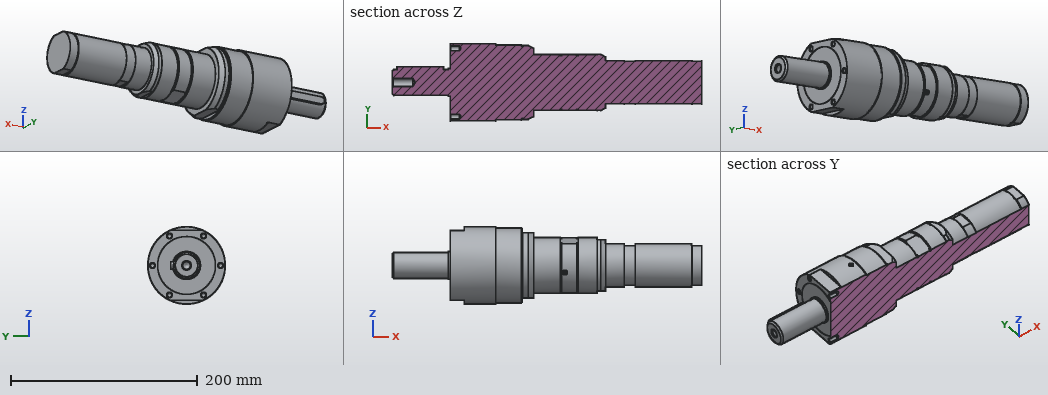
import cadquery as cq
import math


DRILL_POINT_ANGLE = 118.0

SHAFT_DIA = 28.0
SHAFT_CHAMFER = 2.0
COLLAR_START = 60.0
COLLAR_DIA = 30.0
SHAFT_HOLE_DIA = 8.38
SHAFT_HOLE_DEPTH = 22.0
SHAFT_SINK_DIA = 10.0
SHAFT_SINK_ANGLE = 60.0

KEY_START = 5.0
KEY_LENGTH = 50.0
KEY_WIDTH = 8.0
KEY_TOP = 17.0
KEY_SEAT = 10.0

FLANGE_START = 62.0
FLANGE_END = 111.0
FLANGE_DIA = 83.0
FLANGE_FLAT_LENGTH = 15.0
FLANGE_ACROSS_FLATS = 75.0
COVER_DIA = 62.0
COVER_RECESS = 0.2
BOLT_COUNT = 6
BOLT_CIRCLE_DIA = 73.0
BOLT_HOLE_DIA = 4.92
BOLT_HOLE_DEPTH = 10.0
BOLT_SINK_DIA = 6.0
BOLT_SINK_ANGLE = 90.0
FLANGE_PORT_X = 104.5

PORT_DIA = 5.0
PORT_STEP_DEPTH = 2.0
PORT_BORE_DIA = 3.3
PORT_DEPTH = 8.0

RING_END = 139.0
RING_DIA = 80.6
RING_CHAMFER = 1.0

LARGE_NUT_START = 140.0
LARGE_NUT_END = 151.6
LARGE_NUT_DIA = 79.4
LARGE_NUT_TAPER_START = 145.5
LARGE_NUT_END_DIA = 73.5
LARGE_NUT_ACROSS_FLATS = 70.0
LARGE_NUT_GROOVE_DIA = 77.5

HOUSING_END = 219.5
HOUSING_DIA = 60.0
BAND_START = 180.0
BAND_END = 199.0
BAND_GROOVE_WIDTH = 1.5
BAND_GROOVE_DIA = 58.0
BAND_ACROSS_FLATS = 55.0
BAND_TILT = 15.0
BAND_PORT_X = 185.0

SMALL_NUT_END = 228.4
SMALL_NUT_DIA = 60.6
SMALL_NUT_TAPER_START = 223.5
SMALL_NUT_END_DIA = 55.0
SMALL_NUT_ACROSS_FLATS = 55.0

TUBE_END = 331.5
TUBE_DIA = 46.5
TUBE_ACROSS_FLATS = 42.5
MID_FLAT_START = 248.5
MID_FLAT_END = 260.0
END_FLAT_START = 320.5
END_GROOVE_WIDTH = 0.8
TUBE_RELIEF_DIA = 46.0


def cylinder(start, end, diameter):
    """Cylinder on the X axis between two stations."""
    return cq.Workplane("YZ").workplane(offset=start).circle(diameter / 2).extrude(end - start)


def turned_body():
    """Revolve the stepped half profile, given as (station, diameter) pairs, about X."""
    profile = [
        (0, SHAFT_DIA - 2 * SHAFT_CHAMFER),
        (SHAFT_CHAMFER, SHAFT_DIA),
        (COLLAR_START, SHAFT_DIA),
        (COLLAR_START, COLLAR_DIA),
        (FLANGE_START + COVER_RECESS, COLLAR_DIA),
        (FLANGE_START + COVER_RECESS, COVER_DIA),
        (FLANGE_START, COVER_DIA),
        (FLANGE_START, FLANGE_DIA),
        (FLANGE_END, FLANGE_DIA),
        (FLANGE_END, RING_DIA),
        (RING_END - RING_CHAMFER, RING_DIA),
        (RING_END, RING_DIA - 2 * RING_CHAMFER),
        (RING_END, LARGE_NUT_GROOVE_DIA),
        (LARGE_NUT_START, LARGE_NUT_GROOVE_DIA),
        (LARGE_NUT_START, LARGE_NUT_DIA),
        (LARGE_NUT_TAPER_START, LARGE_NUT_DIA),
        (LARGE_NUT_END, LARGE_NUT_END_DIA),
        (LARGE_NUT_END, HOUSING_DIA),
        (HOUSING_END, HOUSING_DIA),
        (HOUSING_END, SMALL_NUT_DIA),
        (SMALL_NUT_TAPER_START, SMALL_NUT_DIA),
        (SMALL_NUT_END, SMALL_NUT_END_DIA),
        (SMALL_NUT_END, TUBE_DIA),
        (MID_FLAT_START, TUBE_DIA),
        (MID_FLAT_START, TUBE_RELIEF_DIA),
        (MID_FLAT_END, TUBE_RELIEF_DIA),
        (MID_FLAT_END, TUBE_DIA),
        (END_FLAT_START, TUBE_DIA),
        (END_FLAT_START, TUBE_RELIEF_DIA),
        (END_FLAT_START + END_GROOVE_WIDTH, TUBE_RELIEF_DIA),
        (END_FLAT_START + END_GROOVE_WIDTH, TUBE_DIA),
        (TUBE_END, TUBE_DIA),
    ]
    outline = [(0, 0)] + [(x, diameter / 2) for x, diameter in profile] + [(TUBE_END, 0)]
    return cq.Workplane("XY").polyline(outline).close().revolve(360, (0, 0, 0), (1, 0, 0))


def flat_pair(start, end, across_flats, tilt=0):
    """Cutter leaving two parallel flats, facing +Z and -Z before the tilt about X."""
    stock = cylinder(start, end, 2 * FLANGE_DIA)
    kept = (
        cq.Workplane("XY")
        .box(end - start, 2 * FLANGE_DIA, across_flats)
        .translate(((start + end) / 2, 0, 0))
    )
    return stock.cut(kept).rotate((0, 0, 0), (1, 0, 0), tilt)


def band_groove(start):
    """Ring cutter for one groove beside the wrench band."""
    end = start + BAND_GROOVE_WIDTH
    return cylinder(start, end, FLANGE_DIA).cut(cylinder(start, end, BAND_GROOVE_DIA))


def drilled_hole(bore_dia, sink_dia, sink_angle, depth):
    """Cutter along +X from the origin: conical sink, bore and conical drill point."""
    bore_radius = bore_dia / 2
    sink_radius = sink_dia / 2
    sink_depth = (sink_radius - bore_radius) / math.tan(math.radians(sink_angle / 2))
    point_length = bore_radius / math.tan(math.radians(DRILL_POINT_ANGLE / 2))
    outline = [
        (0, 0),
        (0, sink_radius),
        (sink_depth, bore_radius),
        (depth, bore_radius),
        (depth + point_length, 0),
    ]
    return cq.Workplane("XY").polyline(outline).close().revolve(360, (0, 0, 0), (1, 0, 0))


def radial_port(x, surface_radius, angle):
    """Cutter for a stepped port, sunk from +Z and turned about X by the angle."""
    step_floor = surface_radius - PORT_STEP_DEPTH
    mouth = cq.Workplane("XY", origin=(x, 0, step_floor)).circle(PORT_DIA / 2).extrude(PORT_DEPTH)
    bore = (
        cq.Workplane("XY", origin=(x, 0, surface_radius - PORT_DEPTH))
        .circle(PORT_BORE_DIA / 2)
        .extrude(PORT_DEPTH)
    )
    return mouth.union(bore).rotate((0, 0, 0), (1, 0, 0), angle)


def shaft_key():
    """Round-ended feather key seated in the +Y side of the shaft."""
    return (
        cq.Workplane("XZ", origin=(KEY_START + KEY_LENGTH / 2, KEY_SEAT, 0))
        .slot2D(KEY_LENGTH, KEY_WIDTH)
        .extrude(KEY_SEAT - KEY_TOP)
    )


result = turned_body()

result = result.cut(flat_pair(FLANGE_START, FLANGE_START + FLANGE_FLAT_LENGTH, FLANGE_ACROSS_FLATS))
result = result.cut(flat_pair(RING_END, LARGE_NUT_END, LARGE_NUT_ACROSS_FLATS))
result = result.cut(flat_pair(BAND_START, BAND_END, BAND_ACROSS_FLATS, BAND_TILT))
result = result.cut(flat_pair(HOUSING_END, SMALL_NUT_END, SMALL_NUT_ACROSS_FLATS))
result = result.cut(flat_pair(MID_FLAT_START, MID_FLAT_END, TUBE_ACROSS_FLATS))
result = result.cut(flat_pair(END_FLAT_START, TUBE_END, TUBE_ACROSS_FLATS))

for groove_start in (BAND_START, BAND_END - BAND_GROOVE_WIDTH):
    result = result.cut(band_groove(groove_start))

result = result.cut(drilled_hole(SHAFT_HOLE_DIA, SHAFT_SINK_DIA, SHAFT_SINK_ANGLE, SHAFT_HOLE_DEPTH))
bolt_hole = drilled_hole(BOLT_HOLE_DIA, BOLT_SINK_DIA, BOLT_SINK_ANGLE, BOLT_HOLE_DEPTH).translate(
    (FLANGE_START, BOLT_CIRCLE_DIA / 2, 0)
)
for index in range(BOLT_COUNT):
    result = result.cut(bolt_hole.rotate((0, 0, 0), (1, 0, 0), index * 360 / BOLT_COUNT))

result = result.cut(radial_port(FLANGE_PORT_X, FLANGE_DIA / 2, 0))
result = result.cut(radial_port(BAND_PORT_X, HOUSING_DIA / 2, 90 + BAND_TILT))

result = result.union(shaft_key())